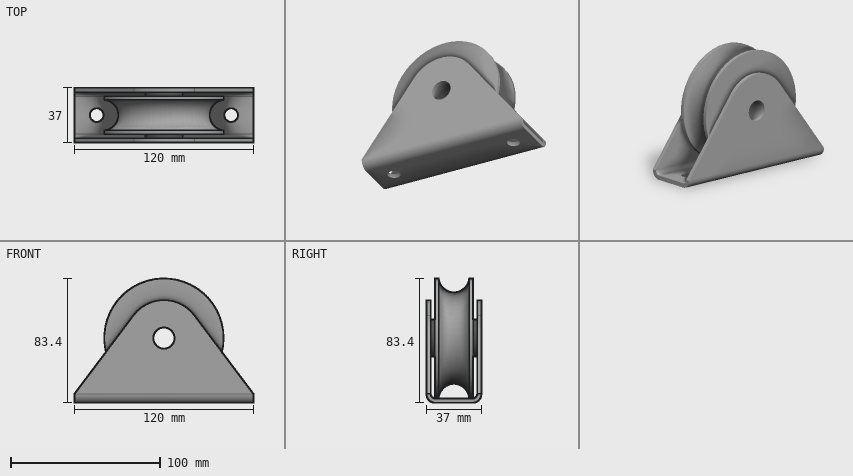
import cadquery as cq
import math

length = 120.0
width = 37.0
sheet = 3.0
bend_radius = 6.0
plate_top_radius = 25.5
mount_hole_diameter = 9.0
mount_hole_spacing = 90.0

wheel_diameter = 80.0
wheel_width = 25.5
rim_width = 2.6
groove_depth = 9.4
hub_diameter = 25.0
axle_hole_diameter = 14.0
overall_height = 83.4
axle_height = overall_height - wheel_diameter / 2
plate_gap = width - 2 * sheet


def u_channel():
    """Bent sheet, open at the top, running along X."""
    height = axle_height + plate_top_radius
    outer = (
        cq.Workplane("XY")
        .box(length, width, height, centered=(True, True, False))
        .edges("|X and <Z")
        .fillet(bend_radius)
    )
    inner = (
        cq.Workplane("XY")
        .workplane(offset=sheet)
        .box(length, plate_gap, height, centered=(True, True, False))
        .edges("|X and <Z")
        .fillet(bend_radius - sheet)
    )
    return outer.cut(inner)


def side_outline():
    """Block with the side outline: straight flanks tangent to an arc about the axle."""
    half_length = length / 2
    drop = axle_height - bend_radius
    corner_distance = math.hypot(half_length, drop)
    tangent_angle = math.acos(plate_top_radius / corner_distance) - math.atan2(drop, half_length)
    tangent_x = plate_top_radius * math.cos(tangent_angle)
    tangent_z = axle_height + plate_top_radius * math.sin(tangent_angle)
    return (
        cq.Workplane("XZ")
        .moveTo(-half_length, 0)
        .lineTo(half_length, 0)
        .lineTo(half_length, bend_radius)
        .lineTo(tangent_x, tangent_z)
        .threePointArc((0, axle_height + plate_top_radius), (-tangent_x, tangent_z))
        .lineTo(-half_length, bend_radius)
        .close()
        .extrude(width / 2, both=True)
    )


def axle_hole():
    """Cylinder along Y that clears the axle hole through both bodies."""
    return (
        cq.Workplane("XZ", origin=(0, 0, axle_height))
        .circle(axle_hole_diameter / 2)
        .extrude(width / 2, both=True)
    )


def mount_holes():
    """Cylinders that clear the two fixing holes in the base."""
    return (
        cq.Workplane("XY")
        .pushPoints([(-mount_hole_spacing / 2, 0), (mount_hole_spacing / 2, 0)])
        .circle(mount_hole_diameter / 2)
        .extrude(sheet)
    )


def make_bracket():
    return u_channel().intersect(side_outline()).cut(axle_hole()).cut(mount_holes())


def make_wheel():
    """Grooved wheel with a hub on each side, revolved about the Y axis of the axle."""
    rim_radius = wheel_diameter / 2
    hub_radius = hub_diameter / 2
    half_wheel = wheel_width / 2
    half_groove = half_wheel - rim_width
    half_hub = plate_gap / 2
    profile = (
        cq.Workplane("XY", origin=(0, 0, axle_height))
        .moveTo(0, -half_hub)
        .lineTo(hub_radius, -half_hub)
        .lineTo(hub_radius, -half_wheel)
        .lineTo(rim_radius, -half_wheel)
        .lineTo(rim_radius, -half_groove)
        .threePointArc((rim_radius - groove_depth, 0), (rim_radius, half_groove))
        .lineTo(rim_radius, half_wheel)
        .lineTo(hub_radius, half_wheel)
        .lineTo(hub_radius, half_hub)
        .lineTo(0, half_hub)
        .close()
    )
    return profile.revolve(360, (0, 0, 0), (0, 1, 0)).cut(axle_hole())


bracket = make_bracket()
wheel = make_wheel()

result = cq.Compound.makeCompound([bracket.val(), wheel.val()])